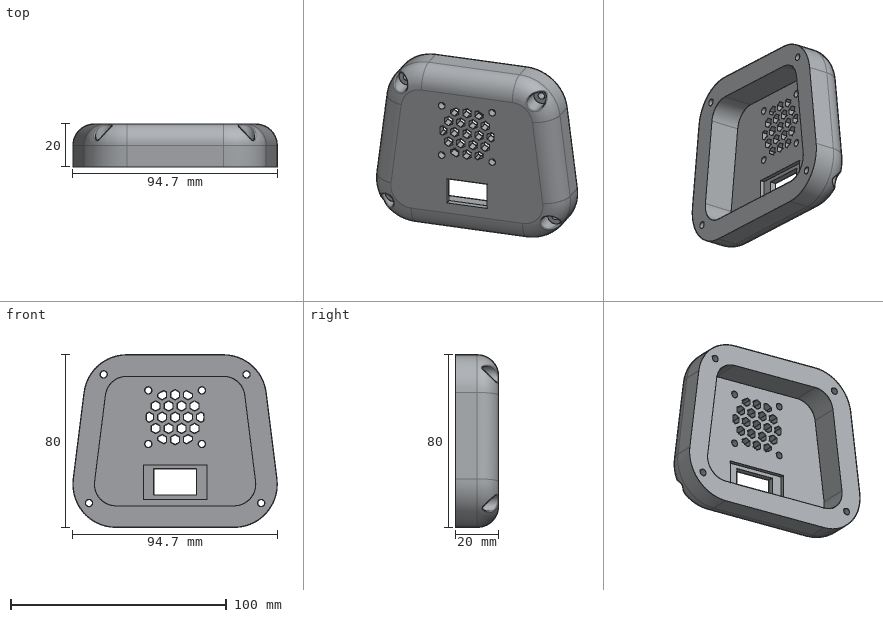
import cadquery as cq
import math

base_width = 100.0
crown_width = 80.0
height = 80.0
depth = 20.0
corner_radius = 20.0
back_round = 10.0
rim_width = 10.0
wall = 5.0

screw_diameter = 3.2
head_diameter = 7.5
pocket_rim_round = 0.4
head_floor = depth - back_round
upper_screw = (33.07, 30.85)
lower_screw = (39.85, -28.7)

grille_z = 11.05
grille_diameter = 26.6
cell_pitch = 6.0
cell_sides = 6
cell_width = 4.0
grille_rings = 2
speaker_screw_spacing = 24.8

window_size = (19.7, 12.1)
window_z = -18.9
seat_size = (29.4, 16.0)
seat_z = -19.0
seat_depth = 2.0


def sketch_plane(y):
    """X-Z workplane at the given y, facing +Y; its local x runs along -X."""
    return cq.Workplane(cq.Plane(origin=(0, y, 0), xDir=(-1, 0, 0), normal=(0, 1, 0)))


def outline(y, inset, length):
    """Rounded trapezoid prism, set in from the outer outline."""
    slope = (base_width - crown_width) / 2 / height
    half_middle = (base_width + crown_width) / 4 - inset * math.hypot(1, slope)
    half_height = height / 2 - inset
    half_base = half_middle + slope * half_height
    half_crown = half_middle - slope * half_height
    corners = [
        (-half_base, -half_height),
        (half_base, -half_height),
        (half_crown, half_height),
        (-half_crown, half_height),
    ]
    prism = sketch_plane(y).polyline(corners).close().extrude(length)
    return prism.edges("|Y").fillet(corner_radius - inset)


def housing():
    """Tapered block with a rounded back, hollowed from the front."""
    shell = outline(0, 0, depth).faces(">Y").edges().fillet(back_round)
    return shell.cut(outline(0, rim_width, depth - wall))


def case_screws():
    """Cutter for the screw holes and the wider head pockets behind them."""
    points = [(side * x, z) for x, z in (upper_screw, lower_screw) for side in (-1, 1)]
    shanks = sketch_plane(0).pushPoints(points).circle(screw_diameter / 2).extrude(depth)
    heads = sketch_plane(head_floor).pushPoints(points).circle(head_diameter / 2).extrude(depth - head_floor)
    return shanks.union(heads)


def grille():
    """Cutter for the hexagonal holes, rows offset by half a pitch."""
    row_pitch = cell_pitch * math.sqrt(3) / 2
    centres = []
    for row in range(-grille_rings, grille_rings + 1):
        cells = 2 * grille_rings + 1 - abs(row)
        for cell in range(cells):
            x = (cell - (cells - 1) / 2) * cell_pitch
            centres.append((x, grille_z + row * row_pitch))
    corner_diameter = cell_width / math.cos(math.pi / cell_sides)
    hexagon = cq.Sketch().regularPolygon(corner_diameter / 2, cell_sides)
    holes = sketch_plane(0).pushPoints(centres).placeSketch(hexagon).extrude(depth)
    trim = sketch_plane(0).center(0, grille_z).circle(grille_diameter / 2).extrude(depth)
    return holes.intersect(trim)


def speaker_screws():
    """Cutter for the four holes square around the grille."""
    square = sketch_plane(0).center(0, grille_z).rect(
        speaker_screw_spacing, speaker_screw_spacing, forConstruction=True
    )
    return square.vertices().circle(screw_diameter / 2).extrude(depth)


def display_window():
    """Cutter for the window and its seat in the inner face of the back wall."""
    opening = sketch_plane(0).center(0, window_z).rect(*window_size).extrude(depth)
    seat = sketch_plane(0).center(0, seat_z).rect(*seat_size).extrude(depth - wall + seat_depth)
    return opening.union(seat)


result = housing().cut(case_screws())
result = result.edges("%BSPLINE").fillet(pocket_rim_round)
for cutter in (grille(), speaker_screws(), display_window()):
    result = result.cut(cutter)